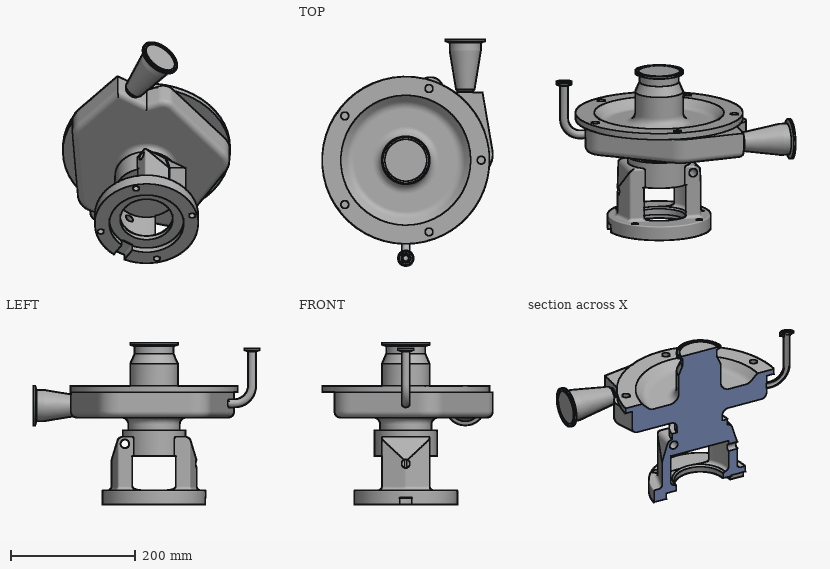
import cadquery as cq
import math

TOTAL_HEIGHT = 261.0

BASE_RADIUS = 83.5
BASE_HEIGHT = 23.2
BASE_BORE_RADIUS = 42.5
BASE_BORE_CHAMFER = 3.0
BASE_RECESS_RADIUS = 60.0
BASE_RECESS_DEPTH = 10.6
BASE_EDGE_ROUND = 2.0
BASE_BOLT_PITCH_RADIUS = 75.5
BASE_BOLT_DIAMETER = 10.0
BASE_BOLT_COUNT = 4
BASE_BOLT_START_ANGLE = 45.0
KEYWAY_WIDTH = 20.0
KEYWAY_HEIGHT = 12.0
KEYWAY_ROUND = 2.0

LEG_HALF_WIDTH = 38.7
LEG_TOP = 109.7
LEG_BORE_RADIUS = 52.0
LEG_SIDE_Y = 58.3
LEG_RIDGE_Y = 69.4
LEG_RIDGE_ROUND = 9.0
LEG_EDGE_ROUND = 3.5
LEG_TOP_SIDE_ROUND = 3.0
LEG_TOP_OUTER_ROUND = 10.0
LEG_SLOPE_BOTTOM_Z = 69.5
LEG_SLOPE_ANGLE = 17.0
LEG_FOOT_ROUND = 6.0
RIDGE_HOLE_DIAMETER = 13.5
RIDGE_HOLE_Z = 66.0

COLLAR_RADIUS = 50.8
COLLAR_BOTTOM = 78.3
COLLAR_TOP = 120.3
NECK_RADIUS = 41.8
NECK_ROUND = 10.0
CLAMP_SLIT_WIDTH = 2.6
CLAMP_BOLT_DIAMETER = 13.5
CLAMP_BOLT_Y = 47.0
CLAMP_BOLT_Z = 98.0

CASING_BOTTOM = 140.0
CASING_TOP = 181.3
CASING_BOTTOM_ROUND = 10.0
FACE_DISTANCE = 115.0
CORNER_RADIUS = 34.6
CORNER_PITCH = 72.0
WIDE_CORNER_X = 104.85
WIDE_CORNER_Y = 9.5
WIDE_CORNER_RADIUS = 35.6
OUTLET_FACE_Y = 109.5
OUTLET_FACE_OUTER_X = 123.9
OUTLET_FACE_INNER_X = 68.0
TONGUE_X = 40.0
TONGUE_Y = 114.1
TONGUE_RADIUS = 20.0

COVER_RADIUS = 135.0
COVER_TOP = 191.5
COVER_BOLT_PITCH_RADIUS = 121.5
COVER_BOLT_DIAMETER = 12.5
COVER_BOLT_COUNT = 5
DISH_RADIUS = 104.7
DISH_DEPTH = 15.0
DISH_WALL_ANGLE = 45.0
DISH_ROUND = 16.3

INLET_BODY_RADIUS = 38.75
INLET_BODY_TOP = 226.8
INLET_TUBE_RADIUS = 31.75
INLET_CONE_TOP = 243.0
INLET_FOOT_ROUND = 15.0

OUTLET_X = 95.9
OUTLET_Z = 159.7
OUTLET_END_Y = 195.0
OUTLET_RIM_RADIUS = 32.25
OUTLET_TUBE_RADIUS = 25.4
OUTLET_CONE_END_Y = 177.0
OUTLET_CONE_START_Y = 114.5
OUTLET_CONE_SMALL_RADIUS = 15.2
OUTLET_NECK_RADIUS = 12.4
OUTLET_NECK_LENGTH = 3.0

VENT_RADIUS = 6.75
VENT_BORE_RADIUS = 4.75
VENT_RIM_RADIUS = 12.7
VENT_Y = -158.0
VENT_Z = 163.3
VENT_BEND_RADIUS = 28.5
VENT_TOP = 252.4
VENT_ROOT_Y = -100.0
VENT_BORE_END_Y = -121.0

RIM_THICKNESS = 3.3
RIM_CONE_LENGTH = 2.4
GROOVE_RADIUS = 1.6
GROOVE_INSET = 3.4


PICK_MARGIN = 1.0


def polar(radius, degrees):
    angle = math.radians(degrees)
    return radius * math.cos(angle), radius * math.sin(angle)


def cylinder(radius, bottom, top):
    return cq.Workplane("XY").workplane(offset=bottom).circle(radius).extrude(top - bottom)


def ring_of_holes(pitch_radius, count, start_angle, diameter, bottom, top):
    return (
        cq.Workplane("XY")
        .workplane(offset=bottom)
        .polarArray(pitch_radius, start_angle, 360, count)
        .circle(diameter / 2)
        .extrude(top - bottom)
    )


def turned(profile):
    """Solid of revolution about Z from (radius, height) points."""
    return cq.Workplane("XZ").polyline(profile).close().revolve(360, (0, 0, 0), (0, 1, 0))


def gasket_groove(rim_radius, face_height):
    """Half-round ring cut into the face of a ferrule that is turned about Z."""
    return (
        cq.Workplane("XZ")
        .center(rim_radius - GROOVE_INSET, face_height)
        .circle(GROOVE_RADIUS)
        .revolve(360, (GROOVE_INSET - rim_radius, 0, 0), (GROOVE_INSET - rim_radius, 1, 0))
    )


def ferrule_profile(tube_radius, rim_radius, face_height):
    """Outer (radius, height) points of a ferrule, from its tube up to the face centre."""
    rim_bottom = face_height - RIM_THICKNESS
    return [
        (tube_radius, rim_bottom - RIM_CONE_LENGTH),
        (rim_radius, rim_bottom),
        (rim_radius, face_height),
        (0, face_height),
    ]


def tangent_points(first, second):
    """Ends of the line touching two circles on their right, going from first to second."""
    x1, y1, r1 = first
    x2, y2, r2 = second
    distance = math.hypot(x2 - x1, y2 - y1)
    heading = math.atan2(y2 - y1, x2 - x1)
    normal = heading - math.acos((r1 - r2) / distance)
    nx, ny = math.cos(normal), math.sin(normal)
    return (x1 + r1 * nx, y1 + r1 * ny), (x2 + r2 * nx, y2 + r2 * ny)


def arc_middle(circle, start, end):
    """Point of the circle halfway along the short arc from start to end."""
    x, y, radius = circle
    dx = start[0] + end[0] - 2 * x
    dy = start[1] + end[1] - 2 * y
    length = math.hypot(dx, dy)
    return x + radius * dx / length, y + radius * dy / length


def casing_corners():
    """Corner circles (x, y, radius), counter-clockwise; radius 0 is a sharp corner."""
    corner_distance = (FACE_DISTANCE - CORNER_RADIUS) / math.cos(math.radians(CORNER_PITCH / 2))
    regular = [
        (*polar(corner_distance, CORNER_PITCH * step), CORNER_RADIUS)
        for step in (2, 3, 4)
    ]
    widest = (WIDE_CORNER_X, WIDE_CORNER_Y, WIDE_CORNER_RADIUS)
    outlet_outer = (OUTLET_FACE_OUTER_X, OUTLET_FACE_Y, 0)
    outlet_inner = (OUTLET_FACE_INNER_X, OUTLET_FACE_Y, 0)
    tongue = (TONGUE_X, TONGUE_Y, TONGUE_RADIUS)
    return regular + [widest, outlet_outer, outlet_inner, tongue]


def make_casing():
    corners = casing_corners()
    count = len(corners)
    lines = [tangent_points(corners[i], corners[(i + 1) % count]) for i in range(count)]
    outline = cq.Workplane("XY").workplane(offset=CASING_BOTTOM).moveTo(*lines[0][0])
    for i in range(count):
        arrival = lines[i][1]
        following = (i + 1) % count
        departure = lines[following][0]
        outline = outline.lineTo(*arrival)
        if corners[following][2] > 0:
            outline = outline.threePointArc(arc_middle(corners[following], arrival, departure), departure)
    body = outline.close().extrude(CASING_TOP - CASING_BOTTOM)
    return body.faces("<Z").edges().fillet(CASING_BOTTOM_ROUND)


def make_dish():
    """Space above the dished centre of the cover."""
    floor = COVER_TOP - DISH_DEPTH
    wall = math.radians(DISH_WALL_ANGLE)
    floor_radius = DISH_RADIUS - DISH_DEPTH / math.tan(wall)
    dish = turned([(0, floor), (floor_radius, floor), (DISH_RADIUS, COVER_TOP), (0, COVER_TOP)])
    return dish.faces("<Z").edges().fillet(DISH_ROUND)


def make_inlet():
    floor = COVER_TOP - DISH_DEPTH
    inlet = turned(
        [(0, floor), (INLET_BODY_RADIUS, floor)]
        + [(INLET_BODY_RADIUS, INLET_BODY_TOP), (INLET_TUBE_RADIUS, INLET_CONE_TOP)]
        + ferrule_profile(INLET_TUBE_RADIUS, INLET_BODY_RADIUS, TOTAL_HEIGHT)
    )
    foot = (
        cq.Workplane("XZ")
        .moveTo(0, floor)
        .lineTo(INLET_BODY_RADIUS + INLET_FOOT_ROUND, floor)
        .radiusArc((INLET_BODY_RADIUS, floor + INLET_FOOT_ROUND), INLET_FOOT_ROUND)
        .lineTo(0, floor + INLET_FOOT_ROUND)
        .close()
        .revolve(360, (0, 0, 0), (0, 1, 0))
    )
    return inlet.union(foot).cut(gasket_groove(INLET_BODY_RADIUS, TOTAL_HEIGHT))


def make_outlet():
    """Outlet pipe, turned about Z and then laid along +Y."""
    neck_shoulder = OUTLET_CONE_START_Y - OUTLET_NECK_LENGTH
    root = OUTLET_FACE_Y - OUTLET_NECK_LENGTH
    outlet = turned(
        [(0, root), (OUTLET_NECK_RADIUS, root), (OUTLET_NECK_RADIUS, neck_shoulder)]
        + [(OUTLET_CONE_SMALL_RADIUS, OUTLET_CONE_START_Y), (OUTLET_TUBE_RADIUS, OUTLET_CONE_END_Y)]
        + ferrule_profile(OUTLET_TUBE_RADIUS, OUTLET_RIM_RADIUS, OUTLET_END_Y)
    )
    outlet = outlet.cut(gasket_groove(OUTLET_RIM_RADIUS, OUTLET_END_Y))
    return outlet.rotate((0, 0, 0), (1, 0, 0), -90).translate((OUTLET_X, 0, OUTLET_Z))


def vent_sweep(radius, root_y):
    """Round bar along the centreline of the vent, from root_y to the vent's top."""
    bend_y = VENT_Y + VENT_BEND_RADIUS
    bend_z = VENT_Z + VENT_BEND_RADIUS
    bend_middle_angle = 225
    dy, dz = polar(VENT_BEND_RADIUS, bend_middle_angle)
    path = (
        cq.Workplane("YZ")
        .moveTo(root_y, VENT_Z)
        .lineTo(bend_y, VENT_Z)
        .threePointArc((bend_y + dy, bend_z + dz), (VENT_Y, bend_z))
        .lineTo(VENT_Y, VENT_TOP)
    )
    start = cq.Plane(origin=(0, root_y, VENT_Z), xDir=(1, 0, 0), normal=(0, -1, 0))
    return cq.Workplane(start).circle(radius).sweep(path)


def make_vent():
    rim_start = VENT_TOP - RIM_THICKNESS - RIM_CONE_LENGTH
    rim = turned([(0, rim_start)] + ferrule_profile(VENT_RADIUS, VENT_RIM_RADIUS, VENT_TOP))
    rim = rim.cut(gasket_groove(VENT_RIM_RADIUS, VENT_TOP)).translate((0, VENT_Y, 0))
    return vent_sweep(VENT_RADIUS, VENT_ROOT_Y).union(rim)


def make_neck():
    neck = cylinder(NECK_RADIUS, COLLAR_TOP, CASING_BOTTOM)
    flare = (
        cq.Workplane("XZ")
        .moveTo(0, CASING_BOTTOM)
        .lineTo(NECK_RADIUS + NECK_ROUND, CASING_BOTTOM)
        .radiusArc((NECK_RADIUS, CASING_BOTTOM - NECK_ROUND), -NECK_ROUND)
        .lineTo(0, CASING_BOTTOM - NECK_ROUND)
        .close()
        .revolve(360, (0, 0, 0), (0, 1, 0))
    )
    return neck.union(flare)


def make_leg():
    """Leg on the -Y side: a ridged prism whose top slopes down to the ridge."""
    plan = [
        (-LEG_HALF_WIDTH, 0),
        (-LEG_HALF_WIDTH, -LEG_SIDE_Y),
        (0, -LEG_RIDGE_Y),
        (LEG_HALF_WIDTH, -LEG_SIDE_Y),
        (LEG_HALF_WIDTH, 0),
    ]
    prism = cq.Workplane("XY").polyline(plan).close().extrude(LEG_TOP)
    prism = prism.edges("|Z and <Y").fillet(LEG_RIDGE_ROUND)
    outer_edges = cq.selectors.BoxSelector(
        (-LEG_HALF_WIDTH - PICK_MARGIN, -LEG_SIDE_Y - PICK_MARGIN, -PICK_MARGIN),
        (LEG_HALF_WIDTH + PICK_MARGIN, -LEG_SIDE_Y + PICK_MARGIN, LEG_TOP + PICK_MARGIN),
    )
    prism = prism.edges("|Z").edges(outer_edges).fillet(LEG_EDGE_ROUND)

    slope_run = (LEG_TOP - LEG_SLOPE_BOTTOM_Z) * math.tan(math.radians(LEG_SLOPE_ANGLE))
    side = [
        (0, 0),
        (-LEG_RIDGE_Y, 0),
        (-LEG_RIDGE_Y, LEG_SLOPE_BOTTOM_Z),
        (slope_run - LEG_RIDGE_Y, LEG_TOP),
        (0, LEG_TOP),
    ]
    envelope = cq.Workplane("YZ").polyline(side).close().extrude(LEG_HALF_WIDTH, both=True)
    top_edge = cq.selectors.NearestToPointSelector((0, slope_run - LEG_RIDGE_Y, LEG_TOP))
    envelope = envelope.edges("|X").edges(top_edge).fillet(LEG_TOP_OUTER_ROUND)

    front = (
        cq.Workplane("XY")
        .box(2 * LEG_HALF_WIDTH, LEG_RIDGE_Y, LEG_TOP, centered=(True, False, False))
        .translate((0, -LEG_RIDGE_Y, 0))
        .edges("|Y and >Z")
        .fillet(LEG_TOP_SIDE_ROUND)
    )
    return prism.intersect(envelope).intersect(front).cut(cylinder(LEG_BORE_RADIUS, 0, COLLAR_BOTTOM))


def make_stand():
    """Base ring and both legs with their rounded feet."""
    base = cylinder(BASE_RADIUS, 0, BASE_HEIGHT).faces(">Z").edges().fillet(BASE_EDGE_ROUND)
    leg = make_leg()
    stand = base.union(leg).union(leg.mirror("XZ"))
    foot_edges = cq.selectors.BoxSelector(
        (-LEG_HALF_WIDTH - PICK_MARGIN, -LEG_RIDGE_Y - PICK_MARGIN, BASE_HEIGHT - PICK_MARGIN),
        (LEG_HALF_WIDTH + PICK_MARGIN, LEG_RIDGE_Y + PICK_MARGIN, BASE_HEIGHT + PICK_MARGIN),
    )
    stand = stand.edges(foot_edges).fillet(LEG_FOOT_ROUND)
    stand = stand.cut(make_base_bore())
    stand = stand.cut(
        ring_of_holes(
            BASE_BOLT_PITCH_RADIUS, BASE_BOLT_COUNT, BASE_BOLT_START_ANGLE, BASE_BOLT_DIAMETER, 0, BASE_HEIGHT
        )
    )
    return stand.cut(make_keyway()).cut(make_ridge_hole())


def make_base_bore():
    """Chamfered bore that opens into a wider recess in the underside of the base."""
    return turned(
        [
            (0, 0),
            (BASE_RECESS_RADIUS, 0),
            (BASE_RECESS_RADIUS, BASE_RECESS_DEPTH),
            (BASE_BORE_RADIUS, BASE_RECESS_DEPTH),
            (BASE_BORE_RADIUS, BASE_HEIGHT - BASE_BORE_CHAMFER),
            (BASE_BORE_RADIUS + BASE_BORE_CHAMFER, BASE_HEIGHT),
            (0, BASE_HEIGHT),
        ]
    )


def make_keyway():
    """Slot from the rim of the base on the -Y side into its recess."""
    keyway_length = BASE_RADIUS - BASE_RECESS_RADIUS + KEYWAY_ROUND
    return (
        cq.Workplane("XY")
        .box(KEYWAY_WIDTH, keyway_length, KEYWAY_HEIGHT, centered=(True, False, False))
        .edges("|Y and >Z")
        .fillet(KEYWAY_ROUND)
        .translate((0, -BASE_RADIUS, 0))
    )


def make_ridge_hole():
    return (
        cq.Workplane("XZ")
        .center(0, RIDGE_HOLE_Z)
        .circle(RIDGE_HOLE_DIAMETER / 2)
        .extrude(BASE_RADIUS)
    )


def make_clamp_bolt_hole():
    return (
        cq.Workplane("YZ")
        .center(CLAMP_BOLT_Y, CLAMP_BOLT_Z)
        .circle(CLAMP_BOLT_DIAMETER / 2)
        .extrude(BASE_RADIUS, both=True)
    )


def make_clamp_slit():
    """Slit that splits the collar and the leg on the +Y side, outside the neck."""
    return (
        cq.Workplane("XY")
        .box(
            CLAMP_SLIT_WIDTH,
            BASE_RADIUS - NECK_RADIUS,
            COLLAR_TOP - BASE_HEIGHT,
            centered=(True, False, False),
        )
        .translate((0, NECK_RADIUS, BASE_HEIGHT))
    )


lower = make_stand().union(cylinder(COLLAR_RADIUS, COLLAR_BOTTOM, COLLAR_TOP))
lower = lower.cut(make_clamp_bolt_hole()).cut(make_clamp_slit())

cover_bolts = ring_of_holes(
    COVER_BOLT_PITCH_RADIUS, COVER_BOLT_COUNT, 0, COVER_BOLT_DIAMETER, CASING_TOP, COVER_TOP
)
upper = make_casing().union(cylinder(COVER_RADIUS, CASING_TOP, COVER_TOP)).cut(make_dish()).cut(cover_bolts)
upper = upper.union(make_inlet()).union(make_outlet()).union(make_vent())
upper = upper.cut(vent_sweep(VENT_BORE_RADIUS, VENT_BORE_END_Y))

result = lower.union(make_neck()).union(upper)